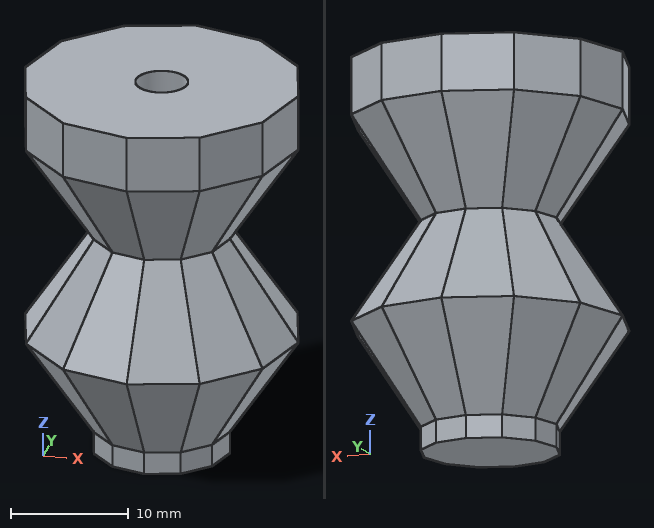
import cadquery as cq

total_height = 34.0
wide_diameter = 24.0
narrow_diameter = wide_diameter / 2
side_count = 12

foot_height = 2.0
cap_height = 5.0
taper_count = 3
taper_height = (total_height - foot_height - cap_height) / taper_count

hole_diameter = 4.5
hole_depth = 3.0


def prism(diameter, height, base_z):
    """Straight section with corners on the X and Y axes."""
    return (
        cq.Workplane("XY", origin=(0, 0, base_z))
        .polygon(side_count, diameter)
        .extrude(height)
    )


def taper(bottom_diameter, top_diameter, base_z):
    """Faceted section that widens or narrows between two diameters."""
    return (
        cq.Workplane("XY", origin=(0, 0, base_z))
        .polygon(side_count, bottom_diameter)
        .workplane(offset=taper_height)
        .polygon(side_count, top_diameter)
        .loft(ruled=True)
    )


body = prism(narrow_diameter, foot_height, 0)

bottom_diameter, top_diameter = narrow_diameter, wide_diameter
for level in range(taper_count):
    base_z = foot_height + level * taper_height
    body = body.union(taper(bottom_diameter, top_diameter, base_z))
    bottom_diameter, top_diameter = top_diameter, bottom_diameter

body = body.union(prism(wide_diameter, cap_height, total_height - cap_height))

hole = (
    cq.Workplane("XY", origin=(0, 0, total_height - hole_depth))
    .circle(hole_diameter / 2)
    .extrude(hole_depth)
)
result = body.cut(hole)